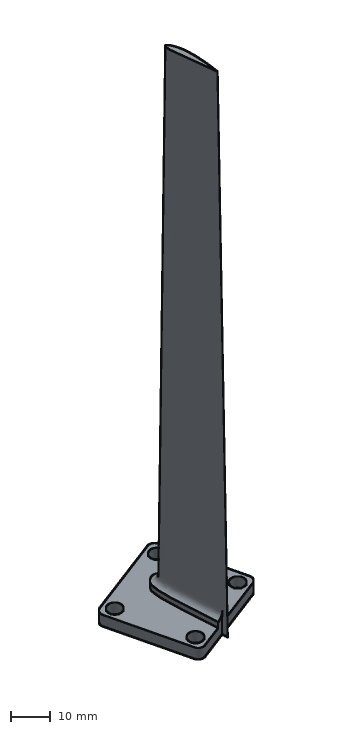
import cadquery as cq
import math

plate_size = 30.0
plate_thickness = 4.0
plate_corner_radius = 2.0
hole_diameter = 4.5
hole_spacing = 23.0

boss_margin = 2.1
boss_top_z = 6.0
root_fillet_radius = 2.0

blade_height = 190.0
root_leading = (-5.75, 1.35)
root_trailing = (16.725, -3.95)
tip_leading = (-3.9, 1.55)
tip_trailing = (12.3, -1.0)

root_thickness_ratio = 0.15
tip_thickness_ratio = 0.13
camber_ratio = 0.03
camber_position = 0.4

section_points_per_side = 8
normal_step = 0.01


def half_thickness(s, thickness_ratio):
    """Half thickness of a four-digit airfoil at chord fraction s."""
    shape = 0.2969 * math.sqrt(s) - 0.1260 * s - 0.3516 * s**2 + 0.2843 * s**3 - 0.1015 * s**4
    return 5.0 * thickness_ratio * shape


def camber(s):
    """Height of the parabolic mean line at chord fraction s."""
    if s < camber_position:
        return camber_ratio * (2.0 * camber_position * s - s**2) / camber_position**2
    rear = 1.0 - 2.0 * camber_position + 2.0 * camber_position * s - s**2
    return camber_ratio * rear / (1.0 - camber_position) ** 2


def airfoil_point(t, leading, trailing, thickness_ratio):
    """Airfoil point: t = -1 lower trailing edge, 0 nose, 1 upper trailing edge."""
    s = t * t
    height = camber(s) + math.copysign(half_thickness(s, thickness_ratio), t)
    chord = cq.Vector(trailing[0] - leading[0], trailing[1] - leading[1])
    return cq.Vector(leading[0], leading[1]) + chord * s + cq.Vector(-chord.y, chord.x) * height


def airfoil_wire(leading, trailing, thickness_ratio, margin=0.0):
    """Closed airfoil outline at Z = 0, grown outward by margin, with a straight trailing edge."""
    steps = range(-section_points_per_side, section_points_per_side + 1)
    parameters = [i / section_points_per_side for i in steps]
    points = []
    for t in parameters:
        before = airfoil_point(t - normal_step, leading, trailing, thickness_ratio)
        after = airfoil_point(t + normal_step, leading, trailing, thickness_ratio)
        along = after - before
        outward = cq.Vector(-along.y, along.x).normalized()
        points.append(airfoil_point(t, leading, trailing, thickness_ratio) + outward * margin)
    sides = cq.Edge.makeSpline(points, parameters=parameters)
    trailing_edge = cq.Edge.makeLine(points[-1], points[0])
    return cq.Wire.assembleEdges([sides, trailing_edge])


def make_plate():
    plate = cq.Workplane("XY").rect(plate_size, plate_size).extrude(plate_thickness)
    plate = plate.edges("|Z").fillet(plate_corner_radius)
    holes = cq.Workplane("XY").rect(hole_spacing, hole_spacing, forConstruction=True).vertices()
    return plate.cut(holes.circle(hole_diameter / 2).extrude(plate_thickness))


def make_blade():
    root = airfoil_wire(root_leading, root_trailing, root_thickness_ratio)
    tip = airfoil_wire(tip_leading, tip_trailing, tip_thickness_ratio)
    tip = tip.translate(cq.Vector(0, 0, blade_height))
    return cq.Workplane(cq.Solid.makeLoft([root, tip], True))


def make_hub(blade):
    """Boss and blade joined by a root fillet, both cut flush with the plate edge."""
    outline = airfoil_wire(root_leading, root_trailing, root_thickness_ratio, boss_margin)
    boss = cq.Workplane(cq.Solid.extrudeLinear(outline, [], cq.Vector(0, 0, boss_top_z)))
    above_plate = cq.Workplane("XY").rect(plate_size, plate_size).extrude(blade_height)
    hub = boss.intersect(above_plate).union(blade.intersect(above_plate))
    curves = hub.faces("+Z").faces("<Z").edges("not %LINE").vals()
    joint = min(curves, key=lambda edge: edge.Length())
    return hub.newObject([joint]).fillet(root_fillet_radius)


blade = make_blade()
result = make_plate().union(make_hub(blade)).union(blade)